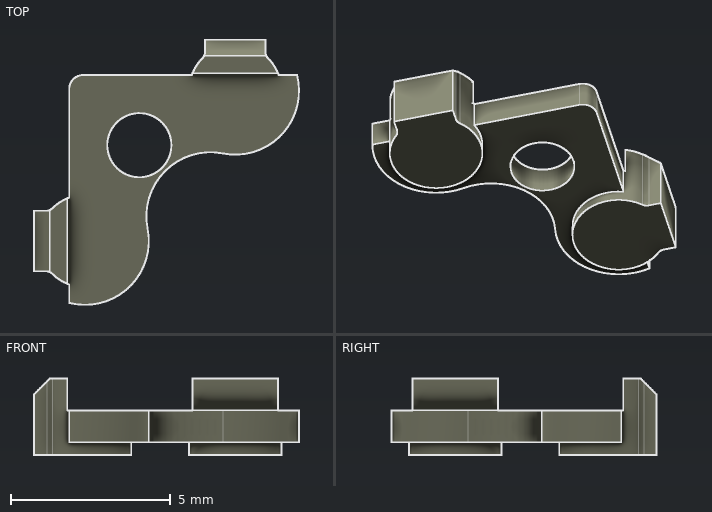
import cadquery as cq
import math


plate_bottom = 0.4
plate_thickness = 1.0
plate_top = plate_bottom + plate_thickness
total_height = 2.4

hole_diameter = 2.0
edge_distance = 2.2
corner_radius = 0.45
lobe_radius = 2.0
inner_radius = 2.0

lobe_x = -1.7
lobe_y = -3.0

disc_radius = 1.45
block_half_width = 0.95
block_outer_distance = 3.3
wall_inner_distance = 2.25
neck_fillet = 0.25
block_chamfer = 0.5

mirror_normal = (1, 1, 0)


def mirrored(point):
    """Reflect a 2D point in the line y = -x."""
    x, y = point
    return (-y, -x)


def inner_curve_center():
    """Distance c so that (c, -c) is the centre of an arc externally tangent to both lobes."""
    center_spacing = lobe_radius + inner_radius
    half_difference = (lobe_x - lobe_y) / 2
    half_sum = (lobe_x + lobe_y) / 2
    return half_difference + math.sqrt(center_spacing ** 2 / 2 - half_sum ** 2)


def make_plate():
    center_offset = inner_curve_center()
    edge_offset = -edge_distance - lobe_x
    lobe_start = (-edge_distance, lobe_y - math.sqrt(lobe_radius ** 2 - edge_offset ** 2))
    lobe_diagonal = lobe_radius * math.sqrt(0.5)
    lobe_middle = (lobe_x + lobe_diagonal, lobe_y - lobe_diagonal)
    tangent_fraction = lobe_radius / (lobe_radius + inner_radius)
    lobe_end = (
        lobe_x + tangent_fraction * (center_offset - lobe_x),
        lobe_y + tangent_fraction * (-center_offset - lobe_y),
    )
    inner_middle_distance = center_offset - inner_radius * math.sqrt(0.5)
    inner_middle = (inner_middle_distance, -inner_middle_distance)

    plate = (
        cq.Workplane("XY")
        .workplane(offset=plate_bottom)
        .moveTo(-edge_distance, edge_distance)
        .lineTo(*lobe_start)
        .threePointArc(lobe_middle, lobe_end)
        .threePointArc(inner_middle, mirrored(lobe_end))
        .threePointArc(mirrored(lobe_middle), mirrored(lobe_start))
        .close()
        .extrude(plate_thickness)
    )
    outer_corner = cq.selectors.NearestToPointSelector(
        (-edge_distance, edge_distance, plate_bottom + plate_thickness / 2)
    )
    return plate.edges("|Z").edges(outer_corner).fillet(corner_radius)


def make_tab():
    """Tab on the -X edge: a disc under the plate that rises outside the edge as a clip wall."""
    disc = cq.Workplane("XY").center(lobe_x, lobe_y).circle(disc_radius).extrude(total_height)
    block_length = block_outer_distance + lobe_x
    block = (
        cq.Workplane("XY")
        .box(block_length, 2 * block_half_width, total_height, centered=(False, True, False))
        .translate((-block_outer_distance, lobe_y, 0))
    )
    tab = disc.union(block)
    tab = tab.edges("|Z and (not <X) and (not >X)").fillet(neck_fillet)
    tab = tab.faces("<X").edges(">Z").chamfer(block_chamfer)
    clearance = (
        cq.Workplane("XY")
        .box(2 * disc_radius, 2 * disc_radius, total_height - plate_top, centered=(False, True, False))
        .translate((-wall_inner_distance, lobe_y, plate_top))
    )
    return tab.cut(clearance)


def make_hole():
    return cq.Workplane("XY").circle(hole_diameter / 2).extrude(total_height)


tab = make_tab()
result = make_plate().union(tab).union(tab.mirror(mirror_normal)).cut(make_hole())